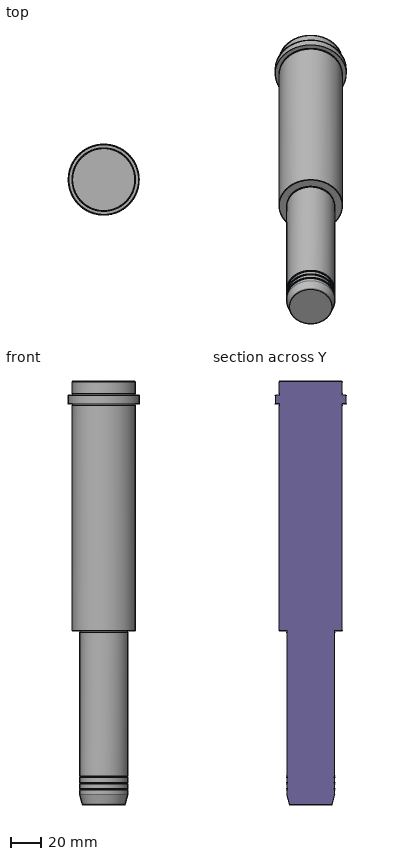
import cadquery as cq
import math

total_length = 280.0
rod_diameter = 32.0
sleeve_diameter = 42.0
sleeve_length = 165.0
sleeve_top_chamfer = 0.5
sleeve_bottom_chamfer = 0.2

collar_diameter = 47.0
collar_drop = 9.0
collar_height = 6.0
collar_chamfer = 0.5

relief_width = 1.0
relief_depth = 0.2

nose_height = 7.0
nose_angle = 15.0
tip_height = 0.6
tip_inset = 0.3

groove_count = 3
groove_pitch = 4.0
groove_width = 1.0
groove_depth = 0.5
lowest_groove_z = 10.0

rod_radius = rod_diameter / 2
sleeve_radius = sleeve_diameter / 2
collar_radius = collar_diameter / 2
sleeve_bottom_z = total_length - sleeve_length
collar_top_z = total_length - collar_drop
collar_bottom_z = collar_top_z - collar_height
nose_tip_radius = rod_radius - (nose_height - tip_height) * math.tan(math.radians(nose_angle))


def nose_points():
    """Tip, broken edge and cone, from the bottom up to the straight rod."""
    return [
        (nose_tip_radius - tip_inset, 0),
        (nose_tip_radius, tip_height),
        (rod_radius, nose_height),
    ]


def groove_points(bottom_z):
    """One V groove in the rod, from its lower to its upper lip."""
    return [
        (rod_radius, bottom_z),
        (rod_radius - groove_depth, bottom_z + groove_width / 2),
        (rod_radius, bottom_z + groove_width),
    ]


def relief_below(radius, shoulder_z):
    """Relief just under a shoulder, ending at the shoulder plane."""
    floor_radius = radius - relief_depth
    bottom_z = shoulder_z - relief_width
    return [(radius, bottom_z), (floor_radius, bottom_z), (floor_radius, shoulder_z)]


def relief_above(radius, shoulder_z):
    """Relief just over a shoulder, starting at the shoulder plane."""
    floor_radius = radius - relief_depth
    top_z = shoulder_z + relief_width
    return [(floor_radius, shoulder_z), (floor_radius, top_z), (radius, top_z)]


def rod_points():
    points = nose_points()
    for index in range(groove_count):
        points += groove_points(lowest_groove_z + index * groove_pitch)
    return points + relief_below(rod_radius, sleeve_bottom_z)


def sleeve_bottom_points():
    return [
        (sleeve_radius - sleeve_bottom_chamfer, sleeve_bottom_z),
        (sleeve_radius, sleeve_bottom_z + sleeve_bottom_chamfer),
    ]


def collar_points():
    """Collar with a chamfered upper rim and a relief on either side."""
    rim = [
        (collar_radius, collar_bottom_z),
        (collar_radius, collar_top_z - collar_chamfer),
        (collar_radius - collar_chamfer, collar_top_z),
    ]
    return (
        relief_below(sleeve_radius, collar_bottom_z)
        + rim
        + relief_above(sleeve_radius, collar_top_z)
    )


def sleeve_top_points():
    return [
        (sleeve_radius, total_length - sleeve_top_chamfer),
        (sleeve_radius - sleeve_top_chamfer, total_length),
    ]


def make_pillar():
    """Revolve the half outline, read from the bottom up, about Z."""
    outline = [(0, 0)]
    outline += rod_points()
    outline += sleeve_bottom_points()
    outline += collar_points()
    outline += sleeve_top_points()
    outline.append((0, total_length))
    return cq.Workplane("XZ").polyline(outline).close().revolve(360, (0, 0, 0), (0, 1, 0))


result = make_pillar()